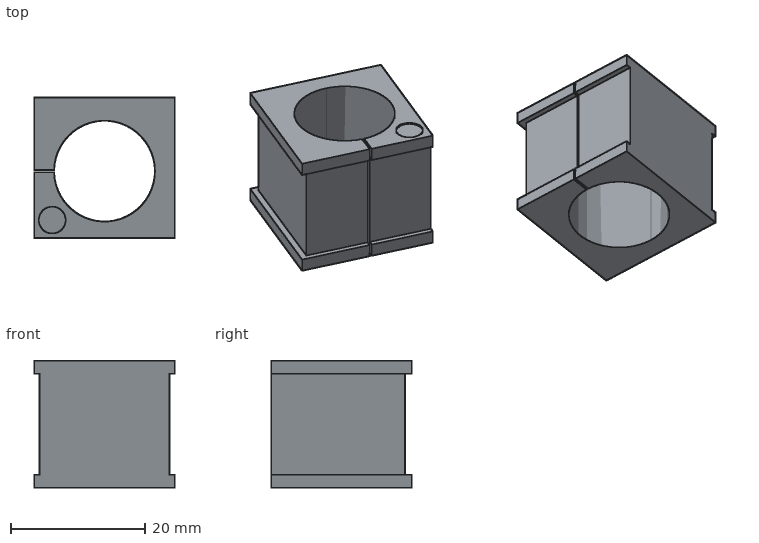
import cadquery as cq

width = 21.0
depth = 21.0
height = 19.0

flange_thickness = 2.0
waist_inset_x = 0.8
waist_inset_back = 1.0

bore_diameter = 15.0
bore_y = -waist_inset_back / 2

slit_width = 0.3

recess_diameter = 4.0
recess_depth = 0.2
recess_edge_distance = 2.7


def make_body():
    """Two square flanges joined by a narrower waist."""
    waist_width = width - 2 * waist_inset_x
    waist_depth = depth - waist_inset_back
    waist_y = -waist_inset_back / 2
    bottom_flange = cq.Workplane("XY").rect(width, depth).extrude(flange_thickness)
    top_flange = bottom_flange.translate((0, 0, height - flange_thickness))
    waist = (
        cq.Workplane("XY")
        .center(0, waist_y)
        .rect(waist_width, waist_depth)
        .extrude(height)
    )
    return waist.union(bottom_flange).union(top_flange)


def make_bore():
    """Round through bore along Z."""
    return cq.Workplane("XY").center(0, bore_y).circle(bore_diameter / 2).extrude(height)


def make_slit():
    """Full-height slit running from the -X face to the bore axis."""
    slit_length = width / 2
    return (
        cq.Workplane("XY")
        .center(-slit_length / 2, bore_y)
        .rect(slit_length, slit_width)
        .extrude(height)
    )


def make_recess():
    """Shallow disc sunk into the top face."""
    recess_x = -width / 2 + recess_edge_distance
    recess_y = -depth / 2 + recess_edge_distance
    return (
        cq.Workplane("XY", origin=(recess_x, recess_y, height))
        .circle(recess_diameter / 2)
        .extrude(-recess_depth)
    )


result = make_body().cut(make_bore()).cut(make_slit()).cut(make_recess())